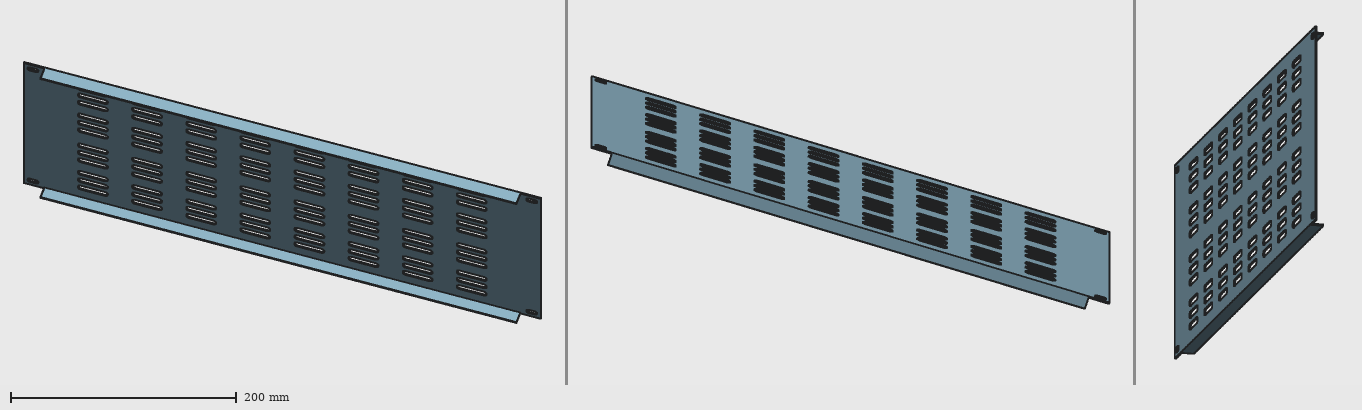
import cadquery as cq

panel_length = 482.0
panel_height = 177.5
panel_depth = 12.5
sheet = 1.5

flange_length = 444.0

vent_length = 28.0
vent_height = 6.0
column_count = 8
column_span = 353.5
group_offsets = (22.0, 62.5)
slots_per_group = 3
group_span = 21.5

mount_length = 10.0
mount_height = 5.0
mount_spacing_x = 465.0
mount_spacing_z = 165.0


def spread(count, span):
    """Evenly spaced positions over a span, symmetric about zero."""
    return [span * (i / (count - 1) - 0.5) for i in range(count)]


def slot_cutter(points, length, height):
    """Round-ended slots along X at (x, z) points, running through the sheet."""
    return (
        cq.Workplane("XZ")
        .pushPoints(points)
        .slot2D(length, height)
        .extrude(sheet)
    )


def make_panel():
    """Flat sheet from y = -sheet to y = 0, with flanges reaching to y = -panel_depth."""
    panel = cq.Workplane("XZ").rect(panel_length, panel_height).extrude(sheet)
    flange_z = (panel_height - sheet) / 2
    flanges = (
        cq.Workplane("XZ")
        .pushPoints([(0, flange_z), (0, -flange_z)])
        .rect(flange_length, sheet)
        .extrude(panel_depth)
    )
    return panel.union(flanges)


def vent_points():
    """Centres of all ventilation slots."""
    group_centers = [side * offset for side in (-1, 1) for offset in group_offsets]
    rows = [center + step for center in group_centers for step in spread(slots_per_group, group_span)]
    return [(x, z) for x in spread(column_count, column_span) for z in rows]


def mount_points():
    """Centres of the four corner mounting slots."""
    return [(x, z) for x in spread(2, mount_spacing_x) for z in spread(2, mount_spacing_z)]


result = (
    make_panel()
    .cut(slot_cutter(vent_points(), vent_length, vent_height))
    .cut(slot_cutter(mount_points(), mount_length, mount_height))
)